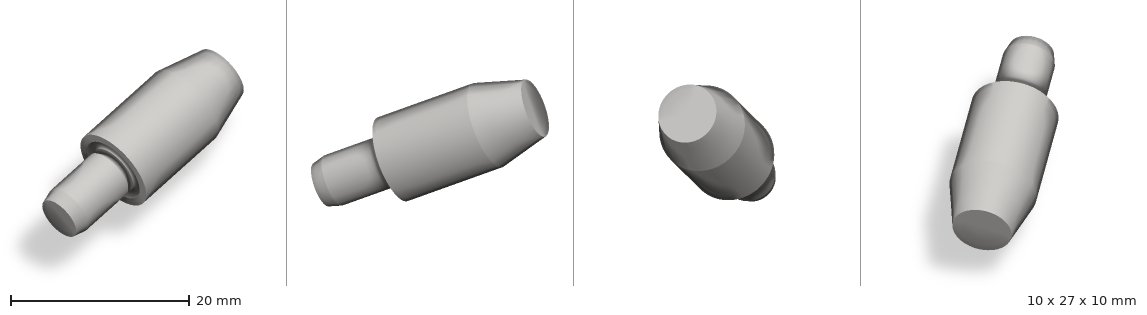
import math

import cadquery as cq

body_diameter = 10.0
body_length = 18.0
nose_length = 6.0
shank_diameter = 6.0
shank_length = 9.0
shank_lead_length = 1.55
taper_angle = 15.0
neck_length = 0.8
neck_angle = 45.0
groove_diameter = 8.0

body_radius = body_diameter / 2
shank_radius = shank_diameter / 2
taper_slope = math.tan(math.radians(taper_angle))
nose_tip_radius = body_radius - nose_length * taper_slope
shank_tip_radius = shank_radius - shank_lead_length * taper_slope
neck_radius = shank_radius - neck_length * math.tan(math.radians(neck_angle))

shank_end = -(body_length + shank_length) / 2
shoulder = shank_end + shank_length
nose_end = shoulder + body_length
nose_start = nose_end - nose_length

groove_outer_radius = groove_diameter / 2
groove_depth = (groove_outer_radius - shank_radius) / 2
groove_center_radius = (groove_outer_radius + shank_radius) / 2


def half_profile():
    """Closed outline on the +Z side of the Y axis, from shank tip to nose tip."""
    return (
        cq.Workplane("ZY")
        .moveTo(0, shank_end)
        .lineTo(shank_tip_radius, shank_end)
        .lineTo(shank_radius, shank_end + shank_lead_length)
        .lineTo(shank_radius, shoulder - neck_length)
        .lineTo(neck_radius, shoulder)
        .lineTo(shank_radius, shoulder)
        .threePointArc((groove_center_radius, shoulder + groove_depth), (groove_outer_radius, shoulder))
        .lineTo(body_radius, shoulder)
        .lineTo(body_radius, nose_start)
        .lineTo(nose_tip_radius, nose_end)
        .lineTo(0, nose_end)
        .close()
    )


result = half_profile().revolve(360, (0, 0, 0), (0, 1, 0))